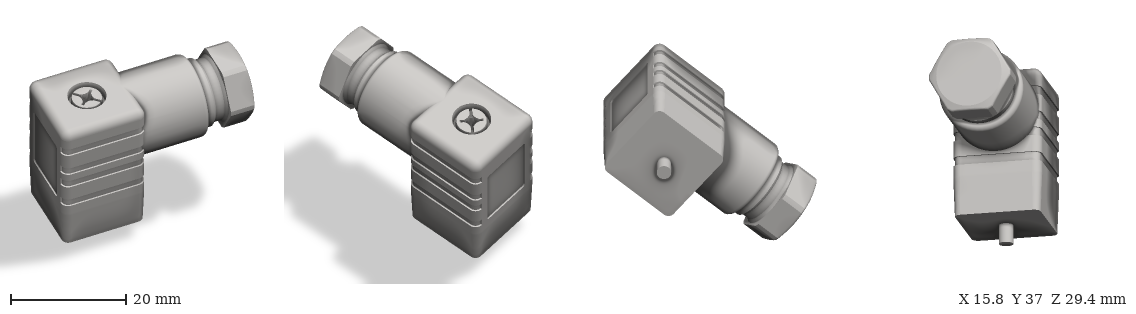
import cadquery as cq
import math

BLOCK_WIDTH = 15.8
BLOCK_HEIGHT = 26.0
EDGE_RADIUS = 1.48
SKIRT_HEIGHT = 6.9
SKIRT_DRAFT = 2.3
BAND_HEIGHT = 0.22
FRONT_Y = -BLOCK_WIDTH / 2
FLAT_HALF = BLOCK_WIDTH / 2 - EDGE_RADIUS

GROOVE_WIDTH = 1.5
GROOVE_DEPTH = 0.3
GROOVE_DEPTHS_FROM_TOP = (4.2, 8.75, 11.73, 16.2)

LABEL_WIDTH = 10.0
LABEL_TOP = BLOCK_HEIGHT - GROOVE_DEPTHS_FROM_TOP[0] - GROOVE_WIDTH / 2
LABEL_BOTTOM = BLOCK_HEIGHT - GROOVE_DEPTHS_FROM_TOP[-1] - GROOVE_WIDTH / 2
LABEL_RADIUS = 0.5
LABEL_DEPTH = 0.3

BARREL_RADIUS = 7.47
BARREL_AXIS_Z = BLOCK_HEIGHT - BARREL_RADIUS
BARREL_START_Y = FLAT_HALF
BARREL_END_Y = FRONT_Y + 27.97
BARREL_END_RADIUS = 0.78

GLAND_END_Y = FRONT_Y + 37
COLLAR_RADIUS = 6.2
COLLAR_LENGTH = 1.45
NECK_RADIUS = 5.65
COLLAR_CHAMFER = COLLAR_RADIUS - NECK_RADIUS
NECK_LENGTH = 1.55
FLARE_RADIUS = 6.1
FLARE_LENGTH = 0.5
HEX_ACROSS_FLATS = 13.02
HEX_TURN = 30.0
HEX_CORNER_RADIUS = 7.25
HEX_FACE_RADIUS = 5.8
HEX_CONE_ANGLE = 18.0
HEX_EDGE_RADIUS = 0.4

TIP_DROP = 3.4
SHANK_RADIUS = 1.25
HEAD_RADIUS = 2.78
HEAD_HEIGHT = 2.6
HEAD_SINK = 0.4
HEAD_TAPER_INSET = 0.15
HEAD_TAPER_HEIGHT = 0.92
SLOT_WIDTH = 0.5
SLOT_DEPTH = 1.22
SLOT_ANGLE = 45.0
CROSS_REACH = 2.07
CROSS_CORE_RADIUS = 0.95
CROSS_CONE_RADIUS = 1.25
CROSS_DEPTH = 3.33
CROSS_FLOOR_RADIUS = 0.48
CROSS_TIP_DEPTH = 0.25

FUNNEL_TOP_RADIUS = 3.4
FUNNEL_FLOOR_RADIUS = 3.2
FUNNEL_DEPTH = 1.7

HEAD_TOP_Z = BLOCK_HEIGHT - HEAD_SINK
HEAD_BOTTOM_Z = HEAD_TOP_Z - HEAD_HEIGHT


def rounded_prism(width, radius, bottom, height):
    return (
        cq.Workplane("XY", origin=(0, 0, bottom))
        .rect(width, width)
        .extrude(height)
        .edges("|Z")
        .fillet(radius)
    )


def turned_on_barrel_axis(profile):
    """Revolve (radius, y) points about the barrel axis."""
    axis_origin = (0, 0, BARREL_AXIS_Z)
    return (
        cq.Workplane("XY", origin=axis_origin)
        .polyline(profile)
        .close()
        .revolve(360, (0, 0, 0), (0, 1, 0))
    )


def drafted_prism(width, radius, top, height, draft):
    """Square prism below the height `top`, narrowing downwards."""
    outline = cq.Sketch().rect(width, width).vertices().fillet(radius)
    return cq.Workplane("XY", origin=(0, 0, top)).placeSketch(outline).extrude(-height, taper=draft)


def block():
    """Upright walls, then a narrow half-drafted band, then the drafted skirt."""
    band_top = SKIRT_HEIGHT + BAND_HEIGHT
    band_draft = SKIRT_DRAFT / 2
    band_inset = BAND_HEIGHT * math.tan(math.radians(band_draft))
    upper = rounded_prism(BLOCK_WIDTH, EDGE_RADIUS, band_top, BLOCK_HEIGHT - band_top)
    upper = upper.faces(">Z").edges().fillet(EDGE_RADIUS)
    band = drafted_prism(BLOCK_WIDTH, EDGE_RADIUS, band_top, BAND_HEIGHT, band_draft)
    skirt_width = BLOCK_WIDTH - 2 * band_inset
    skirt = drafted_prism(skirt_width, EDGE_RADIUS - band_inset, SKIRT_HEIGHT, SKIRT_HEIGHT, SKIRT_DRAFT)
    return upper.union(band).union(skirt)


def grip_groove(depth_from_top):
    bottom = BLOCK_HEIGHT - depth_from_top - GROOVE_WIDTH / 2
    core_width = BLOCK_WIDTH - 2 * GROOVE_DEPTH
    core = rounded_prism(core_width, EDGE_RADIUS - GROOVE_DEPTH, bottom, GROOVE_WIDTH)
    front_land = (
        cq.Workplane("XY", origin=(0, FRONT_Y, bottom))
        .rect(2 * FLAT_HALF, BLOCK_WIDTH)
        .extrude(GROOVE_WIDTH)
    )
    surround = (
        cq.Workplane("XY", origin=(0, 0, bottom))
        .rect(2 * BLOCK_WIDTH, 2 * BLOCK_WIDTH)
        .extrude(GROOVE_WIDTH)
    )
    return surround.cut(core).cut(front_land)


def label_recess():
    height = LABEL_TOP - LABEL_BOTTOM
    return (
        cq.Workplane("XZ", origin=(0, FRONT_Y, (LABEL_TOP + LABEL_BOTTOM) / 2))
        .rect(LABEL_WIDTH, height)
        .extrude(-LABEL_DEPTH)
        .edges("|Y")
        .fillet(LABEL_RADIUS)
    )


def barrel():
    return (
        cq.Workplane("XZ", origin=(0, BARREL_START_Y, BARREL_AXIS_Z))
        .circle(BARREL_RADIUS)
        .extrude(BARREL_START_Y - BARREL_END_Y)
        .faces(">Y")
        .edges()
        .fillet(BARREL_END_RADIUS)
    )


def screw_bore():
    """Funnel, head seat and shank hole that match the screw."""
    floor_z = BLOCK_HEIGHT - FUNNEL_DEPTH
    profile = [
        (0, 0),
        (SHANK_RADIUS, 0),
        (SHANK_RADIUS, HEAD_BOTTOM_Z),
        (HEAD_RADIUS, HEAD_BOTTOM_Z),
        (HEAD_RADIUS, floor_z),
        (FUNNEL_FLOOR_RADIUS, floor_z),
        (FUNNEL_TOP_RADIUS, BLOCK_HEIGHT),
        (0, BLOCK_HEIGHT),
    ]
    return cq.Workplane("XZ").polyline(profile).close().revolve(360, (0, 0, 0), (0, 1, 0))


def make_housing():
    body = block()
    for depth in GROOVE_DEPTHS_FROM_TOP:
        body = body.cut(grip_groove(depth))
    return body.union(barrel()).cut(label_recess()).cut(screw_bore())


def gland_hex(start_y):
    length = GLAND_END_Y - start_y
    flats = (
        cq.Workplane("XZ", origin=(0, start_y, BARREL_AXIS_Z))
        .transformed(rotate=(0, 0, HEX_TURN))
        .polygon(6, HEX_ACROSS_FLATS, circumscribed=True)
        .extrude(-length)
    )
    cone_drop = (HEX_CORNER_RADIUS - HEX_FACE_RADIUS) * math.tan(math.radians(HEX_CONE_ANGLE))
    blank = turned_on_barrel_axis([
        (0, start_y),
        (HEX_CORNER_RADIUS, start_y),
        (HEX_CORNER_RADIUS, GLAND_END_Y - cone_drop),
        (HEX_FACE_RADIUS, GLAND_END_Y),
        (0, GLAND_END_Y),
    ])
    rim_zone = cq.selectors.BoxSelector(
        (-BLOCK_WIDTH, GLAND_END_Y - 2 * cone_drop, 0),
        (BLOCK_WIDTH, GLAND_END_Y - cone_drop / 10, 2 * BLOCK_HEIGHT),
    )
    return flats.intersect(blank).edges(rim_zone).fillet(HEX_EDGE_RADIUS)


def make_gland():
    chamfer_y = BARREL_END_Y + COLLAR_LENGTH
    neck_y = chamfer_y + COLLAR_CHAMFER
    flare_y = neck_y + NECK_LENGTH
    hex_y = flare_y + FLARE_LENGTH
    neck = turned_on_barrel_axis([
        (0, BARREL_END_Y),
        (COLLAR_RADIUS, BARREL_END_Y),
        (COLLAR_RADIUS, chamfer_y),
        (NECK_RADIUS, neck_y),
        (NECK_RADIUS, flare_y),
        (FLARE_RADIUS, hex_y),
        (0, hex_y),
    ])
    return neck.union(gland_hex(hex_y))


def cross_outline():
    """Four narrow arm tips joined by arcs that sweep in to the core."""
    half = SLOT_WIDTH / 2
    diagonal = CROSS_CORE_RADIUS / math.sqrt(2)
    outline = cq.Workplane("XY", origin=(0, 0, HEAD_TOP_Z)).moveTo(CROSS_REACH, -half)
    for quarter in range(4):
        turn = quarter * math.pi / 2

        def turned(x, y):
            return (x * math.cos(turn) - y * math.sin(turn), x * math.sin(turn) + y * math.cos(turn))

        outline = outline.lineTo(*turned(CROSS_REACH, half))
        outline = outline.threePointArc(turned(diagonal, diagonal), turned(half, CROSS_REACH))
    return outline.close()


def cross_arms():
    """Two crossed bars of constant width whose ends slope in to the floor."""
    floor_z = HEAD_TOP_Z - CROSS_DEPTH
    bar = (
        cq.Workplane("XZ")
        .polyline([
            (-CROSS_REACH, HEAD_TOP_Z),
            (CROSS_REACH, HEAD_TOP_Z),
            (CROSS_FLOOR_RADIUS, floor_z),
            (-CROSS_FLOOR_RADIUS, floor_z),
        ])
        .close()
        .extrude(SLOT_WIDTH / 2, both=True)
    )
    return bar.union(bar.rotate((0, 0, 0), (0, 0, 1), 90))


def cross_recess():
    floor_z = HEAD_TOP_Z - CROSS_DEPTH
    cone = (
        cq.Workplane("XZ")
        .polyline([
            (0, HEAD_TOP_Z),
            (CROSS_CONE_RADIUS, HEAD_TOP_Z),
            (CROSS_FLOOR_RADIUS, floor_z),
            (0, floor_z - CROSS_TIP_DEPTH),
        ])
        .close()
        .revolve(360, (0, 0, 0), (0, 1, 0))
    )
    core = cross_outline().extrude(-CROSS_DEPTH - CROSS_TIP_DEPTH).intersect(cone)
    return core.union(cross_arms())


def make_screw():
    head = (
        cq.Workplane("XY", origin=(0, 0, HEAD_BOTTOM_Z))
        .circle(HEAD_RADIUS)
        .extrude(HEAD_HEIGHT)
        .faces(">Z")
        .edges()
        .chamfer(HEAD_TAPER_HEIGHT, HEAD_TAPER_INSET)
    )
    shank = (
        cq.Workplane("XY", origin=(0, 0, -TIP_DROP))
        .circle(SHANK_RADIUS)
        .extrude(HEAD_BOTTOM_Z + TIP_DROP)
    )
    slot = (
        cq.Workplane("XY", origin=(0, 0, HEAD_TOP_Z))
        .rect(2 * HEAD_RADIUS, SLOT_WIDTH)
        .extrude(-SLOT_DEPTH)
    )
    drive = slot.union(cross_recess()).rotate((0, 0, 0), (0, 0, 1), SLOT_ANGLE)
    return head.union(shank).cut(drive)


housing = make_housing()
gland = make_gland()
screw = make_screw()

result = cq.Compound.makeCompound([housing.val(), gland.val(), screw.val()])